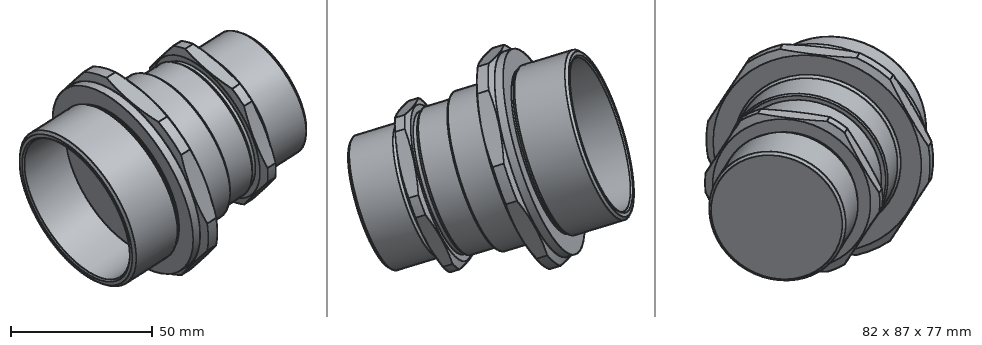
import cadquery as cq
import math

length = 87.0
shoulder_chamfer = 0.6

front_diameter = 63.0
front_end = 21.2
front_groove_diameter = 61.0
edge_chamfer = (front_diameter - front_groove_diameter) / 2
bore_diameter = 57.0
bore_depth = 20.0
bore_chamfer = 0.6

flange_diameter = 76.0
flange_start = 21.9
large_hex_start = 25.1
large_hex_end = 32.0
large_hex_flats = 77.0
large_hex_corners = 81.95
large_hex_face = 76.2
large_hex_chamfer = 1.3

body_diameter = 59.4
body_foot_flare = 0.9
body_foot_end = 33.15
body_end = 47.0
collar_diameter = 55.0
collar_end = 59.6
collar_neck_diameter = collar_diameter - 2 * edge_chamfer

small_hex_start = 61.0
small_hex_end = 66.8
small_hex_flats = 58.8
small_hex_corners = 64.0
small_hex_face = 57.85
small_hex_chamfer = 1.05

rear_diameter = 50.0
rear_start = 68.4
rear_groove_diameter = rear_diameter - 2 * edge_chamfer


def cylinder(diameter, start, end):
    """Solid cylinder on the Y axis between two stations."""
    plane = cq.Workplane("XZ", origin=(0, start, 0))
    return plane.circle(diameter / 2).extrude(start - end)


def hexagon(flats, corners, face, chamfer, start, end):
    """Hexagon with flats facing +Z and -Z, its corners turned down and coned to both faces."""
    plane = cq.Workplane("XZ", origin=(0, start, 0))
    prism = plane.polygon(6, flats / math.cos(math.pi / 6)).extrude(start - end)
    envelope = (
        cq.Workplane("XY")
        .moveTo(0, start)
        .lineTo(face / 2, start)
        .lineTo(corners / 2, start + chamfer)
        .lineTo(corners / 2, end - chamfer)
        .lineTo(face / 2, end)
        .lineTo(0, end)
        .close()
        .revolve(360, (0, 0, 0), (0, 1, 0))
    )
    return prism.intersect(envelope)


def body_foot():
    """Conical flare joining the body to the large hexagon."""
    return (
        cq.Workplane("XY")
        .moveTo(0, large_hex_end)
        .lineTo(body_diameter / 2 + body_foot_flare, large_hex_end)
        .lineTo(body_diameter / 2, body_foot_end)
        .lineTo(0, body_foot_end)
        .close()
        .revolve(360, (0, 0, 0), (0, 1, 0))
    )


def bore():
    """Blind front bore with a chamfered mouth."""
    straight = cylinder(bore_diameter, 0, bore_depth)
    mouth = cq.Workplane("XZ").circle(bore_diameter / 2 + bore_chamfer)
    return straight.union(mouth.extrude(-bore_chamfer, taper=45))


result = (
    cylinder(front_diameter, 0, front_end).edges().chamfer(edge_chamfer)
    .union(cylinder(front_groove_diameter, front_end - edge_chamfer, flange_start))
    .union(cylinder(flange_diameter, flange_start, large_hex_start))
    .union(
        hexagon(
            large_hex_flats, large_hex_corners, large_hex_face,
            large_hex_chamfer, large_hex_start, large_hex_end,
        )
    )
    .union(body_foot())
    .union(cylinder(body_diameter, large_hex_end, body_end).faces(">Y").chamfer(shoulder_chamfer))
    .union(cylinder(collar_diameter, body_end, collar_end).faces(">Y").chamfer(edge_chamfer))
    .union(cylinder(collar_neck_diameter, collar_end, small_hex_start))
    .union(
        hexagon(
            small_hex_flats, small_hex_corners, small_hex_face,
            small_hex_chamfer, small_hex_start, small_hex_end,
        )
    )
    .union(cylinder(rear_groove_diameter, small_hex_end, rear_start + edge_chamfer))
    .union(cylinder(rear_diameter, rear_start, length).edges().chamfer(edge_chamfer))
    .cut(bore())
)